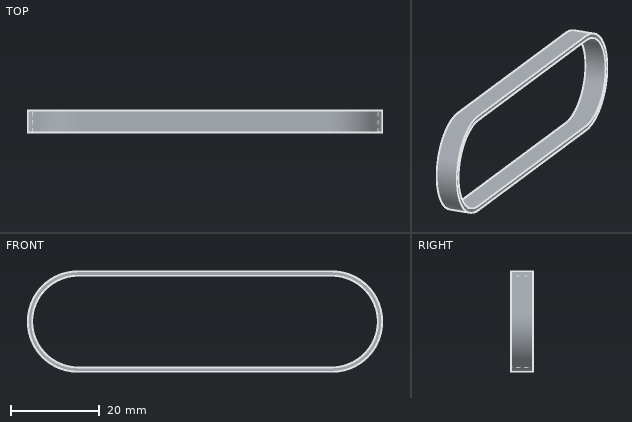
import cadquery as cq

length = 80.0
height = 22.7
width = 5.0
wall = 1.0

bore_length = length - 2 * wall
bore_height = height - 2 * wall

outer = cq.Workplane("XZ").slot2D(length, height).extrude(width / 2, both=True)
opening = cq.Workplane("XZ").slot2D(bore_length, bore_height).extrude(width / 2, both=True)

result = outer.cut(opening)